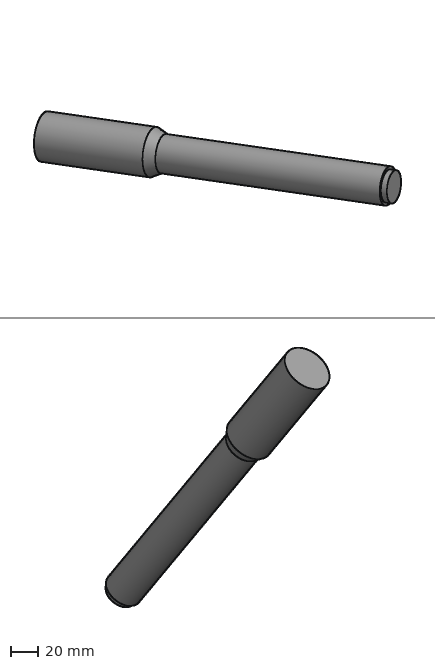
import cadquery as cq

total_length = 285.5
head_diameter = 38.0
shank_diameter = 29.7
pilot_diameter = 25.0

head_length = 88.8
taper_length = 8.5
pilot_length = 4.9

head_radius = head_diameter / 2
shank_radius = shank_diameter / 2
pilot_radius = pilot_diameter / 2

head_start = -total_length / 2
taper_start = head_start + head_length
shank_start = taper_start + taper_length
pilot_end = head_start + total_length
pilot_start = pilot_end - pilot_length

result = (
    cq.Workplane("XZ")
    .moveTo(head_start, 0)
    .lineTo(head_start, head_radius)
    .lineTo(taper_start, head_radius)
    .lineTo(shank_start, shank_radius)
    .lineTo(pilot_start, shank_radius)
    .lineTo(pilot_start, pilot_radius)
    .lineTo(pilot_end, pilot_radius)
    .lineTo(pilot_end, 0)
    .close()
    .revolve(360, (0, 0, 0), (1, 0, 0))
)